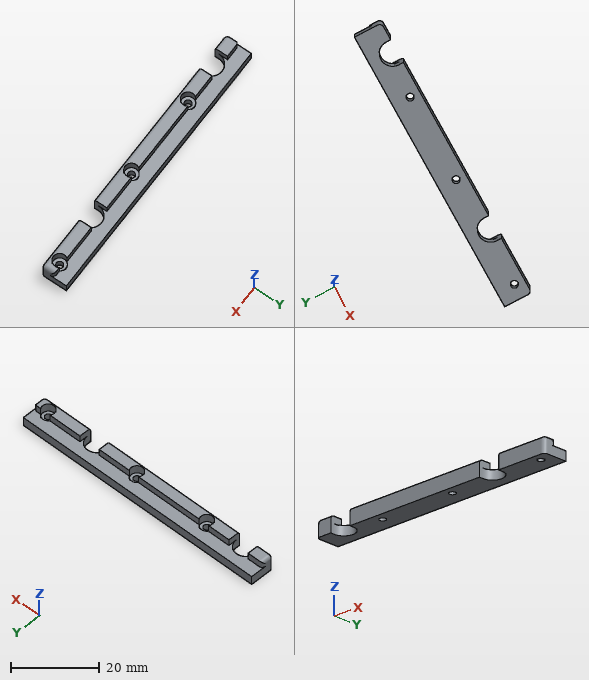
import cadquery as cq

length = 72
width = 7.0
height = 4.5

base_height = 2.6
lip_depth = 3.5
edge_radius = 1.0

notch_radius = 3.0
notch_centers_x = (7.5, 54.4)
notch_center_y = 1.15

hole_centers_x = (18.4, 40.5, 68.4)
hole_center_y = 2.5
hole_diameter = 1.8
seat_diameter = 3.5
seat_depth = 0.5


def make_base():
    base = cq.Workplane("XY").box(length, width, base_height, centered=False)
    return base.edges("|Z and <Y").fillet(edge_radius)


def make_lip():
    rounded_block = (
        cq.Workplane("XY")
        .box(length, width, height, centered=False)
        .edges("(|Z and <Y) or (>Z and (not >Y))")
        .fillet(edge_radius)
    )
    outline = cq.Workplane("XY").box(length, lip_depth, height, centered=False)
    outline = outline.edges("|Z").fillet(edge_radius)
    return rounded_block.intersect(outline)


def cut_notch(body, center_x):
    round_end = (
        cq.Workplane("XY").center(center_x, notch_center_y).circle(notch_radius).extrude(height)
    )
    mouth = (
        cq.Workplane("XY")
        .box(2 * notch_radius, notch_center_y, height, centered=False)
        .translate((center_x - notch_radius, 0, 0))
    )
    lip_gap = (
        cq.Workplane("XY")
        .box(2 * notch_radius, lip_depth, height - base_height, centered=False)
        .translate((center_x - notch_radius, 0, base_height))
    )
    return body.cut(round_end).cut(mouth).cut(lip_gap)


def cut_screw_hole(body, center_x):
    hole = cq.Workplane("XY").center(center_x, hole_center_y).circle(hole_diameter / 2).extrude(height)
    seat = (
        cq.Workplane("XY", origin=(center_x, hole_center_y, base_height - seat_depth))
        .circle(seat_diameter / 2)
        .extrude(height - base_height + seat_depth)
    )
    return body.cut(hole).cut(seat)


result = make_base().union(make_lip())
for notch_x in notch_centers_x:
    result = cut_notch(result, notch_x)
for hole_x in hole_centers_x:
    result = cut_screw_hole(result, hole_x)